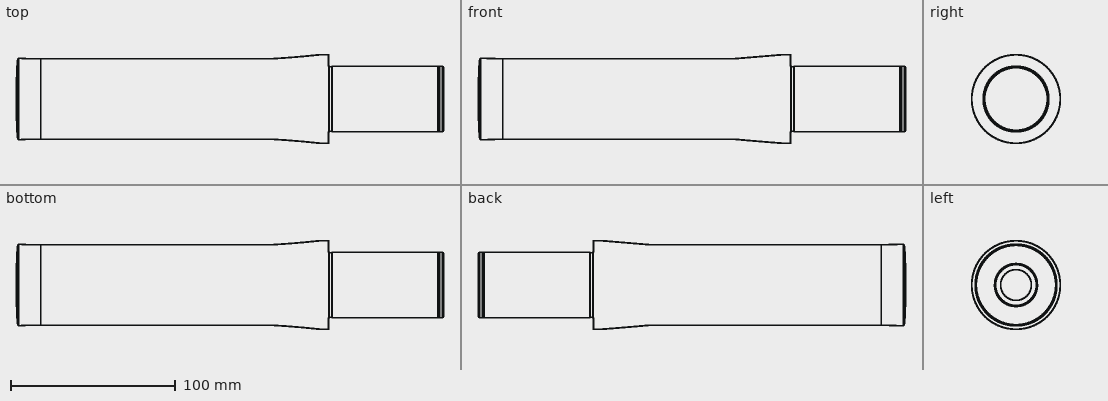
import cadquery as cq

overall_length = 260.0
shank_length = 70.0
shank_start = overall_length - shank_length

body_diameter = 49.0
head_length = 15
head_taper_length = 11.0
head_taper_diameter = 49.2
head_rim_diameter = 49.8
head_rim_setback = 1.7
face_rim_diameter = 48.2
face_rim_setback = 1.0
face_diameter = 44.0
face_setback = 0.6

boss_base_diameter = 26.2
boss_top_diameter = 24.8
boss_height = 0.3
recess_mouth_diameter = 18.7
recess_chamfer_diameter = 17.2
recess_chamfer_depth = 0.5
recess_step_diameter = 15.8
recess_step_depth = 0.8
recess_floor_diameter = 4.0
recess_depth = 1.8

flange_diameter = 54.0
flare_start = 155.0
flange_start = 184.8

ease_length = 0.8
ease_rise = ease_length / 2 * (flange_diameter - body_diameter) / (flange_start - flare_start)

shank_diameter = 40.0
groove_diameter = 39.5
groove_wall_length = 0.4
root_groove_width = 2.2
tail_groove_start = 256.2
tail_groove_width = 1.2
end_chamfer = 1.0


def turned(stations):
    """Revolve (x, diameter) stations about the X axis."""
    outline = [(x, diameter / 2) for x, diameter in stations]
    return cq.Workplane("XZ").polyline(outline).close().revolve(360, (0, 0, 0), (1, 0, 0))


def make_head():
    return turned([
        (recess_depth, 0),
        (recess_depth, recess_floor_diameter),
        (recess_step_depth, recess_step_diameter),
        (recess_chamfer_depth, recess_chamfer_diameter),
        (0, recess_mouth_diameter),
        (0, boss_top_diameter),
        (boss_height, boss_base_diameter),
        (face_setback, face_diameter),
        (face_rim_setback, face_rim_diameter),
        (head_rim_setback, head_rim_diameter),
        (head_taper_length, head_taper_diameter),
        (head_length, body_diameter),
        (head_length, 0),
    ])


def groove_stations(start, width):
    """Stations of one shank groove, from its first rim to its last."""
    end = start + width
    return [
        (start, shank_diameter),
        (start + groove_wall_length, groove_diameter),
        (end - groove_wall_length, groove_diameter),
        (end, shank_diameter),
    ]


def make_holder():
    return turned([
        (head_length, 0),
        (head_length, body_diameter),
        (flare_start - ease_length / 2, body_diameter),
        (flare_start + ease_length / 2, body_diameter + ease_rise),
        (flange_start - ease_length / 2, flange_diameter - ease_rise),
        (flange_start + ease_length / 2, flange_diameter),
        (shank_start, flange_diameter),
        *groove_stations(shank_start, root_groove_width),
        *groove_stations(tail_groove_start, tail_groove_width),
        (overall_length - end_chamfer, shank_diameter),
        (overall_length, shank_diameter - 2 * end_chamfer),
        (overall_length, 0),
    ])


head = make_head()
holder = make_holder()

result = cq.Compound.makeCompound([head.val(), holder.val()])